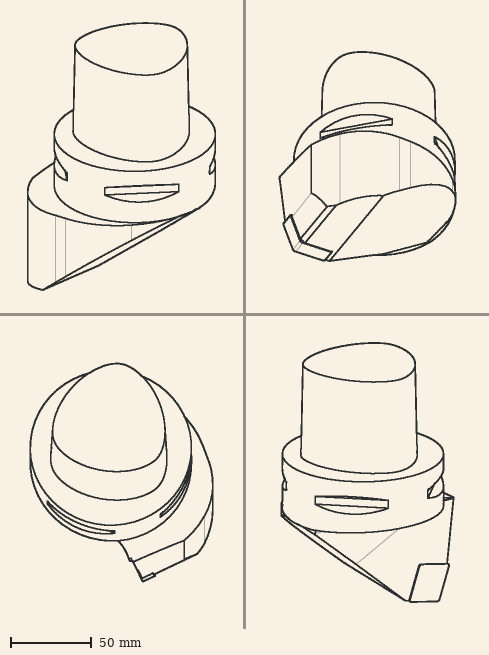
import cadquery as cq
import math

SHANK_HEIGHT = 60.0
SHANK_MEAN_RADIUS = 36.0
SHANK_LOBE = 2.5
SHANK_TAPER = 1.2
SHANK_POINTS = 36

COLLAR_RADIUS = 50.0
COLLAR_HEIGHT = 35.9
GROOVE_Z = -15.8
GROOVE_BOTTOM_DISTANCE = 44.4
GROOVE_BOTTOM_WIDTH = 5.1
GROOVE_MOUTH_WIDTH = 11.5
GROOVE_COUNT = 4

HEAD_LEFT = -64.1
HEAD_BACK = 23.8
HEAD_FRONT = -57.8
HEAD_BOTTOM = -119.0
SHOULDER_SLOPE = 0.3
SHOULDER_RADIUS = 93.5

FLANK_END = (-60.9, -26.0)
CORNER_MID = (-56.5, -35.0)
CORNER_END = (-50.5, -43.2)
BELLY_MID = (-35.0, -54.4)
BELLY_END_X = -16.1
FLAT_END_X = -8.2
SHOULDER_MID = (13.5, -53.4)
SHOULDER_END = (31.5, -41.5)
RIGHT_MID = (41.6, -28.5)
RIGHT_END = (48.6, -9.3)
RIGHT_BACK_X = 40.8

POCKET_WALL_Y = 10.4
POCKET_ROOT_Z = -35.7
POCKET_RIM_Z = -32.8
POCKET_FILLET = 4.0
POCKET_SIZE = 204.0

RAKE_SLOPE_X = 0.07
RAKE_SLOPE_Z = 0.14
CORNER = (-58.3, 0.0, -110.3)

INSERT_SIDE = 25.3
INSERT_THICKNESS = 8.0
INSERT_RADIUS = 1.5
INSERT_TILT = 13.0
INSERT_OVERHANG = 0.8
INSERT_RISE = 0.7
HEAD_CORNER_CHAMFER = 2.7
LOWER_EDGE_LENGTH = 27.2
BACK_CUT_ANGLE = 39.5

rake_plane = cq.Plane(
    origin=CORNER,
    xDir=(1, RAKE_SLOPE_X, 0),
    normal=(RAKE_SLOPE_X, -1, RAKE_SLOPE_Z),
)


def polar(length, degrees):
    angle = math.radians(degrees)
    return length * math.cos(angle), length * math.sin(angle)


def shank_point(mean_radius, angle):
    """Point of the lobed curve where its outward normal has this angle."""
    support = mean_radius - SHANK_LOBE * math.sin(3 * angle)
    change = -3 * SHANK_LOBE * math.cos(3 * angle)
    return (
        support * math.cos(angle) - change * math.sin(angle),
        support * math.sin(angle) + change * math.cos(angle),
    )


def shank_section(mean_radius):
    step = 2 * math.pi / SHANK_POINTS
    return [shank_point(mean_radius, i * step) for i in range(SHANK_POINTS)]


def make_shank():
    return (
        cq.Workplane("XY")
        .spline(shank_section(SHANK_MEAN_RADIUS), periodic=True).close()
        .workplane(offset=SHANK_HEIGHT)
        .spline(shank_section(SHANK_MEAN_RADIUS - SHANK_TAPER), periodic=True).close()
        .loft(combine=True)
    )


def make_groove(angle):
    depth = COLLAR_RADIUS - GROOVE_BOTTOM_DISTANCE
    flank = (GROOVE_MOUTH_WIDTH - GROOVE_BOTTOM_WIDTH) / 2
    outer_half = GROOVE_BOTTOM_WIDTH / 2 + 2 * flank
    inner_half = GROOVE_BOTTOM_WIDTH / 2
    outer = GROOVE_BOTTOM_DISTANCE + 2 * depth
    return (
        cq.Workplane("XZ")
        .moveTo(GROOVE_BOTTOM_DISTANCE, GROOVE_Z - inner_half)
        .lineTo(outer, GROOVE_Z - outer_half)
        .lineTo(outer, GROOVE_Z + outer_half)
        .lineTo(GROOVE_BOTTOM_DISTANCE, GROOVE_Z + inner_half)
        .close()
        .extrude(COLLAR_RADIUS, both=True)
        .rotate((0, 0, 0), (0, 0, 1), angle)
    )


def make_collar():
    collar = cq.Workplane("XY").circle(COLLAR_RADIUS).extrude(-COLLAR_HEIGHT)
    for i in range(GROOVE_COUNT):
        collar = collar.cut(make_groove(45 + i * 360 / GROOVE_COUNT))
    return collar


def make_head_outline():
    """Vertical column with a flat left side and a rounded front."""
    return (
        cq.Workplane("XY")
        .moveTo(HEAD_LEFT, HEAD_BACK)
        .lineTo(*FLANK_END)
        .threePointArc(CORNER_MID, CORNER_END)
        .threePointArc(BELLY_MID, (BELLY_END_X, HEAD_FRONT))
        .lineTo(FLAT_END_X, HEAD_FRONT)
        .threePointArc(SHOULDER_MID, SHOULDER_END)
        .threePointArc(RIGHT_MID, RIGHT_END)
        .lineTo(RIGHT_BACK_X, HEAD_BACK)
        .close()
        .extrude(HEAD_BOTTOM)
    )


def make_shoulder_envelope():
    """Everything below the conical shoulder, as a turned solid."""
    shoulder_drop = SHOULDER_SLOPE * (SHOULDER_RADIUS - COLLAR_RADIUS)
    return (
        cq.Workplane("XZ")
        .moveTo(0, -COLLAR_HEIGHT)
        .lineTo(COLLAR_RADIUS, -COLLAR_HEIGHT)
        .lineTo(SHOULDER_RADIUS, -COLLAR_HEIGHT - shoulder_drop)
        .lineTo(SHOULDER_RADIUS, HEAD_BOTTOM)
        .lineTo(0, HEAD_BOTTOM)
        .close()
        .revolve(360, (0, 0, 0), (0, 1, 0))
    )


def make_edge_envelope():
    """Side, lower edge and slanted back, swept square to the rake plane."""
    tip = (INSERT_OVERHANG, INSERT_OVERHANG)
    chamfer_lower = polar(HEAD_CORNER_CHAMFER, INSERT_TILT)
    chamfer_side = polar(HEAD_CORNER_CHAMFER, 90 + INSERT_TILT)
    lower_x, lower_y = polar(LOWER_EDGE_LENGTH, INSERT_TILT)
    back_x, back_y = polar(POCKET_SIZE, BACK_CUT_ANGLE)
    side_x, side_y = polar(POCKET_SIZE, 90 + INSERT_TILT)
    return (
        cq.Workplane(rake_plane)
        .moveTo(tip[0] + chamfer_lower[0], tip[1] + chamfer_lower[1])
        .lineTo(tip[0] + lower_x, tip[1] + lower_y)
        .line(back_x, back_y)
        .lineTo(tip[0] + side_x, tip[1] + side_y)
        .lineTo(tip[0] + chamfer_side[0], tip[1] + chamfer_side[1])
        .close()
        .extrude(POCKET_SIZE / 2, both=True)
    )


def make_chip_pocket():
    """Space behind the head, with a rounded root under the sloping collar."""
    root_y = POCKET_WALL_Y + POCKET_FILLET
    slope = (POCKET_RIM_Z - POCKET_ROOT_Z) / (COLLAR_RADIUS - root_y)
    fillet_mid = POCKET_FILLET * (1 - math.sqrt(0.5))
    return (
        cq.Workplane("YZ")
        .moveTo(POCKET_WALL_Y, HEAD_BOTTOM)
        .lineTo(POCKET_WALL_Y, POCKET_ROOT_Z - POCKET_FILLET)
        .threePointArc(
            (POCKET_WALL_Y + fillet_mid, POCKET_ROOT_Z - fillet_mid),
            (root_y, POCKET_ROOT_Z),
        )
        .lineTo(POCKET_SIZE, POCKET_ROOT_Z + slope * (POCKET_SIZE - root_y))
        .lineTo(POCKET_SIZE, HEAD_BOTTOM)
        .close()
        .extrude(POCKET_SIZE / 2, both=True)
    )


def make_rake_cut():
    """Space above the sunken rake face of the head, kept below the pocket fillet."""
    above_rake = (
        cq.Workplane(rake_plane)
        .workplane(offset=INSERT_RISE)
        .rect(2 * POCKET_SIZE, 2 * POCKET_SIZE)
        .extrude(-POCKET_SIZE)
    )
    below_root = (
        cq.Workplane("XY", origin=(0, 0, POCKET_ROOT_Z - POCKET_FILLET))
        .rect(2 * POCKET_SIZE, 2 * POCKET_SIZE)
        .extrude(-POCKET_SIZE)
    )
    return above_rake.intersect(below_root)


def make_insert():
    return (
        cq.Workplane(rake_plane)
        .transformed(rotate=(0, 0, INSERT_TILT))
        .rect(INSERT_SIDE, INSERT_SIDE, centered=False)
        .extrude(INSERT_THICKNESS)
        .edges(cq.selectors.ParallelDirSelector(rake_plane.zDir))
        .fillet(INSERT_RADIUS)
    )


def make_holder(insert):
    head = make_head_outline().intersect(make_shoulder_envelope())
    head = head.intersect(make_edge_envelope()).cut(make_rake_cut())
    holder = make_collar().union(head).cut(make_chip_pocket())
    return holder.union(make_shank()).cut(insert)


insert = make_insert()
holder = make_holder(insert)

result = cq.Compound.makeCompound([holder.val(), insert.val()])